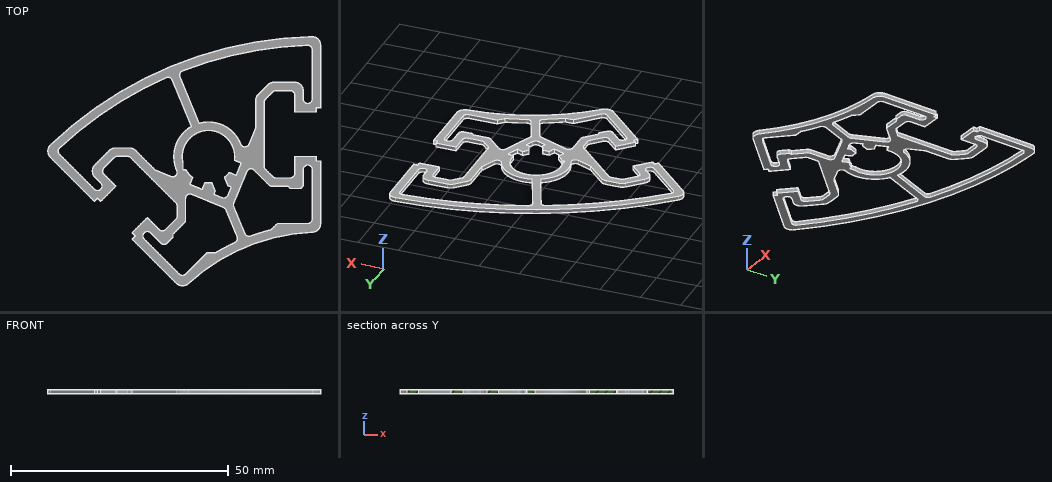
import cadquery as cq
import math


thickness = 1.0
sector_angle = 45.0
outer_radius = 90.0
inner_radius = 45.0
wall = 2.0
corner_radius = 2.0
pocket_fillet = 1.0

slot_lip_half = 5.1
lip_step = 1.0
lip_depth = 6.0
slot_depth = 13.0
slot_half_width = 10.0
slot_chamfer = 2.25
slot_fillet = 1.0

rail_step = 0.5
rail_start = 7.5
pad_length = 10.0

bore_radius = 6.0
core_half = 7.5
core_notch = 1.5
tab_near = 1.5
tab_far = 3.0
tab_base_far = 4.5
nick_reach = 5.8
nick_drop = 3.0

half_angle = math.radians(sector_angle / 2)
mean_radius = (outer_radius + inner_radius) / 2
ring_radius = bore_radius + wall
rib_half = wall / 2
pocket_outer_radius = outer_radius - wall
pocket_inner_radius = inner_radius + wall
hook_depth = lip_depth - wall
channel_radius = (hook_depth - wall) / 2
channel_centre = -(wall + channel_radius)
channel_end = slot_lip_half + wall
channel_start = channel_end + channel_radius
housing_depth = slot_depth + wall
housing_half_width = slot_half_width + wall
chamfer_angle = math.radians(45)
housing_bend = slot_depth - slot_chamfer + wall * math.tan(chamfer_angle / 2)
housing_bend_rise = housing_half_width - (housing_depth - housing_bend)


def on_bisector(radial, offset=0.0):
    """Point at a distance along the bisector, offset towards the x = 0 side."""
    x = -radial * math.sin(half_angle) + offset * math.cos(half_angle)
    y = radial * math.cos(half_angle) + offset * math.sin(half_angle)
    return (x, y)


core_centre = on_bisector(mean_radius)


def on_core(across, along):
    """Point in the square core's frame, whose axes are tilted half the sector angle."""
    x = core_centre[0] + across * math.cos(half_angle) + along * math.sin(half_angle)
    y = core_centre[1] - across * math.sin(half_angle) + along * math.cos(half_angle)
    return (x, y)


def on_circle(radius, x):
    """Upper point of an origin-centred circle at the given x."""
    return (x, math.sqrt(radius**2 - x**2))


def mid_arc(start, end, centre=(0.0, 0.0)):
    """Middle point of the shorter arc between two points around a centre."""
    mx = (start[0] + end[0]) / 2 - centre[0]
    my = (start[1] + end[1]) / 2 - centre[1]
    radius = math.hypot(start[0] - centre[0], start[1] - centre[1])
    scale = radius / math.hypot(mx, my)
    return (centre[0] + mx * scale, centre[1] + my * scale)


def fillet_corners(solid, corners, radius):
    """Round the upright edges that stand on the given corner points."""
    for x, y in corners:
        edge = cq.selectors.NearestToPointSelector((x, y, thickness / 2))
        solid = solid.edges("|Z").edges(edge).fillet(radius)
    return solid


def mirrored(solid):
    """Copy of a feature on the other side of the bisector."""
    upright = solid.rotate((0, 0, 0), (0, 0, 1), -sector_angle / 2)
    flipped = upright.mirror("YZ")
    return flipped.rotate((0, 0, 0), (0, 0, 1), sector_angle / 2)


def make_sector():
    """Solid annular sector with its four corners rounded."""
    far_direction = math.radians(90 + sector_angle)
    far_outer = (outer_radius * math.cos(far_direction), outer_radius * math.sin(far_direction))
    far_inner = (inner_radius * math.cos(far_direction), inner_radius * math.sin(far_direction))
    near_outer = (0.0, outer_radius)
    near_inner = (0.0, inner_radius)
    sector = (
        cq.Workplane("XY")
        .moveTo(*near_inner)
        .lineTo(*near_outer)
        .threePointArc(on_bisector(outer_radius), far_outer)
        .lineTo(*far_inner)
        .threePointArc(on_bisector(inner_radius), near_inner)
        .close()
        .extrude(thickness)
    )
    return fillet_corners(sector, [near_outer, far_outer, near_inner, far_inner], corner_radius)


def make_t_slot():
    """T-slot that opens through the flat side, with stepped lips."""
    half_outline = [
        (0.0, slot_lip_half + lip_step),
        (-lip_step, slot_lip_half + lip_step),
        (-lip_step, slot_lip_half),
        (-lip_depth, slot_lip_half),
        (-lip_depth, slot_half_width),
        (-slot_depth + slot_chamfer, slot_half_width),
        (-slot_depth, slot_half_width - slot_chamfer),
    ]
    upper = [(x, mean_radius + rise) for x, rise in half_outline]
    lower = [(x, mean_radius - rise) for x, rise in reversed(half_outline)]
    slot = cq.Workplane("XY").polyline(upper + lower).close().extrude(thickness)
    cavity_corners = upper[-3:] + lower[:3]
    return fillet_corners(slot, cavity_corners, slot_fillet)


def make_outer_pocket():
    """Pocket between the outer arc, the rib, the ring and the slot housing."""
    wall_corner = on_circle(pocket_outer_radius, -wall)
    rib_outer = on_bisector(math.sqrt(pocket_outer_radius**2 - rib_half**2), rib_half)
    rib_at_ring = on_bisector(mean_radius + math.sqrt(ring_radius**2 - rib_half**2), rib_half)
    ring_at_core = on_core(core_half, math.sqrt(ring_radius**2 - core_half**2))
    core_rise = (-housing_depth - ring_at_core[0]) / math.tan(half_angle)
    housing_foot = (-housing_depth, ring_at_core[1] + core_rise)
    hook_corner = (-hook_depth, mean_radius + housing_half_width)
    bend_top = (-housing_bend, mean_radius + housing_half_width)
    bend_back = (-housing_depth, mean_radius + housing_bend_rise)
    pocket = (
        cq.Workplane("XY")
        .moveTo(*wall_corner)
        .lineTo(-wall, mean_radius + channel_start)
        .threePointArc(
            (channel_centre, mean_radius + channel_end),
            (-hook_depth, mean_radius + channel_start),
        )
        .lineTo(*hook_corner)
        .lineTo(*bend_top)
        .lineTo(*bend_back)
        .lineTo(*housing_foot)
        .lineTo(*ring_at_core)
        .threePointArc(mid_arc(ring_at_core, rib_at_ring, core_centre), rib_at_ring)
        .lineTo(*rib_outer)
        .threePointArc(mid_arc(rib_outer, wall_corner), wall_corner)
        .close()
        .extrude(thickness)
    )
    pocket = fillet_corners(pocket, [hook_corner, bend_top, bend_back], wall)
    return fillet_corners(pocket, [wall_corner, rib_outer, ring_at_core], pocket_fillet)


def make_inner_pocket():
    """Pocket between the inner arc, the rib, the core wall and the slot housing."""
    wall_corner = (-wall, pocket_inner_radius)
    pad_corner = (-pad_length, pocket_inner_radius)
    pad_rise = pocket_inner_radius + pad_length
    pad_foot_x = (-pad_rise + math.sqrt(2 * pocket_inner_radius**2 - pad_rise**2)) / 2
    pad_foot = (pad_foot_x, pad_foot_x + pad_rise)
    rib_inner = on_bisector(math.sqrt(pocket_inner_radius**2 - rib_half**2), rib_half)
    core_outside = core_half + wall
    rib_at_core = on_core(core_outside, math.sqrt(2) * rib_half - core_outside)
    housing_end = mean_radius - housing_half_width
    bend = (-housing_bend, housing_end)
    slope_gap = sum(bend) - sum(rib_at_core)
    core_run = slope_gap / (math.sin(half_angle) + math.cos(half_angle))
    core_top = (
        rib_at_core[0] + core_run * math.sin(half_angle),
        rib_at_core[1] + core_run * math.cos(half_angle),
    )
    rail_corner = (-hook_depth, housing_end - rail_step)
    pocket = (
        cq.Workplane("XY")
        .moveTo(*wall_corner)
        .lineTo(*pad_corner)
        .lineTo(*pad_foot)
        .threePointArc(mid_arc(pad_foot, rib_inner), rib_inner)
        .lineTo(*rib_at_core)
        .lineTo(*core_top)
        .lineTo(*bend)
        .lineTo(-rail_start, housing_end)
        .lineTo(-rail_start + rail_step, housing_end - rail_step)
        .lineTo(*rail_corner)
        .lineTo(-hook_depth, mean_radius - channel_start)
        .threePointArc(
            (channel_centre, mean_radius - channel_end),
            (-wall, mean_radius - channel_start),
        )
        .close()
        .extrude(thickness)
    )
    rounded = [wall_corner, rail_corner, rib_inner, rib_at_core, core_top, bend]
    return fillet_corners(pocket, rounded, pocket_fillet)


def make_core_tab():
    """Tab on the core wall, its tip trimmed to the bore radius."""
    near_tip = math.sqrt(bore_radius**2 - tab_near**2)
    far_tip = math.sqrt(bore_radius**2 - tab_far**2)
    tip_start = on_core(near_tip, -tab_near)
    tip_end = on_core(far_tip, -tab_far)
    slope_end = on_core(far_tip + tab_base_far - tab_far, -tab_base_far)
    return (
        cq.Workplane("XY")
        .moveTo(*on_core(core_half, -tab_near))
        .lineTo(*tip_start)
        .threePointArc(mid_arc(tip_start, tip_end, core_centre), tip_end)
        .lineTo(*slope_end)
        .lineTo(*on_core(core_half, -tab_base_far))
        .close()
        .extrude(thickness)
    )


def make_core():
    """Bore joined to the square opening and the nick, less the two tabs."""
    inside_corner = on_core(core_half, -core_half)
    square = (
        cq.Workplane("XY")
        .polyline(
            [
                on_core(-core_notch, core_notch),
                on_core(core_half, core_notch),
                inside_corner,
                on_core(-core_notch, -core_half),
            ]
        )
        .close()
        .extrude(thickness)
    )
    square = fillet_corners(square, [inside_corner], pocket_fillet)
    bore = cq.Workplane("XY").center(*core_centre).circle(bore_radius).extrude(thickness)
    nick = cq.Workplane("XY").box(nick_reach, nick_drop, thickness, centered=False)
    nick = nick.translate((core_centre[0] - nick_reach, core_centre[1] - nick_drop, 0))
    tab = make_core_tab()
    return bore.union(square).union(nick).cut(tab).cut(mirrored(tab))


result = make_sector().cut(make_core())
for opening in (make_t_slot(), make_outer_pocket(), make_inner_pocket()):
    result = result.cut(opening).cut(mirrored(opening))